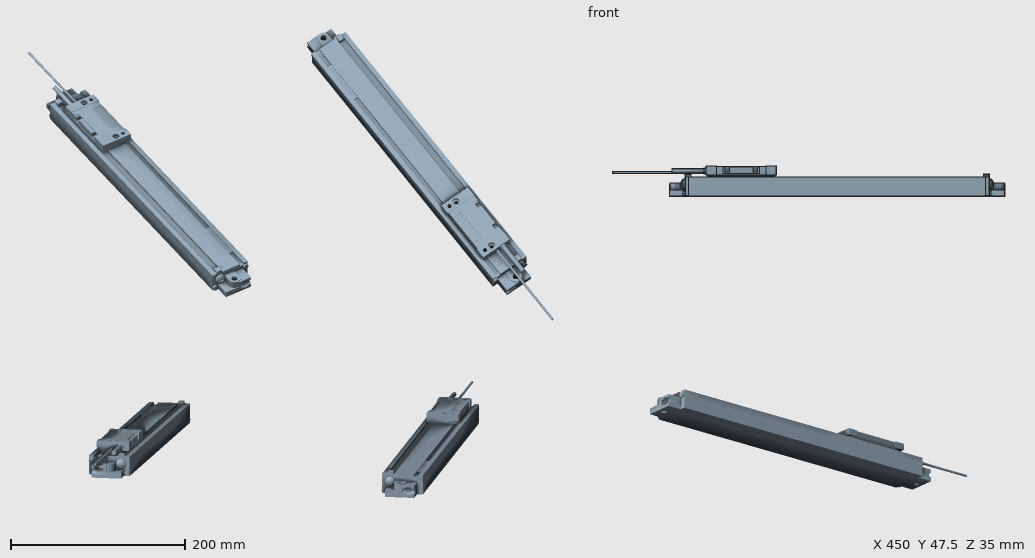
import cadquery as cq


overall_length = 348.8
housing_width = 47.5
housing_height = 22.5
housing_wall = 1.0
cap_plate_thickness = 0.5
rail_width = 5.5
rear_groove_width = 5.5
front_groove_width = 8.5
groove_depth = 2.5
rear_strip_start = 101.0
rear_strip_length = 50.0
rear_strip_height = 2.0
label_pocket_start = -165.5
label_pocket_length = 27.0
label_pocket_width = 9.5
label_pocket_y = 6.8
label_pocket_depth = 1.0
label_pocket_radius = 2.0

half_length = overall_length / 2
housing_half_length = half_length - cap_plate_thickness
half_width = housing_width / 2
rail_inner_y = half_width - rail_width
groove_floor = housing_height - groove_depth

cap_depth = 4.0
tab_length = 6.8
tab_width = 6.8
tab_y = -14.18
tab_height = 3.0
tab_fillet = 1.5
screw_head_radius = 3.0
screw_head_height = 2.2
screw_positions = [(20.48, 16.5), (-20.48, 3.38)]
plug_y = -14.0
plug_z = 14.0
plug_radius = 6.0
plug_rim = 2.2
dome_height = 2.5
plug_slot_width = 1.5
plug_slot_depth = 1.5

bracket_length = 18.0
bracket_width = 34.0
bracket_base_height = 7.0
bracket_block_height = 14.5
boss_height = 15.8
boss_radius = 6.8
boss_y = -1.0
boss_inset = 7.0
mount_hole_diameter = 7.0
side_bore_z = 7.5
side_bore_radius = 3.0
side_bore_length = 13.5
side_recess_radius = 4.5
side_recess_length = 6.8

head_start = -150.5
head_length = 80.5
head_top = 35.0
head_front_y = -18.0
head_rear_y = 18.5
foot_bottom = 23.0
end_block_length = 12.0
end_block_rear_y = 20.0
head_bottom = 24.8
middle_setback = 0.5
flange_bottom = 27.5
flange_y = 8.5
foot_inset = 1.5
foot_front_y = -7.0
foot_radius = 10.0
plate_recess_length = 40.5
plate_recess_width = 11.2
plate_recess_rear_y = 18.0
plate_recess_depth = 0.5
step_length = 42.5
step_width = 5.5
step_drop = 1.0
step_face_setback = 0.5
step_face_bottom = 26.5
notch_width = 5.5
notch_spacing = 32.5
notch_bottom = 28.5
clamp_hole_diameter = 5.0
clamp_hole_y = 12.82
head_bolt_diameter = 4.0
head_bolt_bore_diameter = 8.0
head_bolt_bore_depth = 3.5
head_bolt_y = 3.38

head_end = head_start + head_length
head_middle_x = (head_start + head_end) / 2
middle_front_y = head_front_y + middle_setback
middle_top = head_top - middle_setback

total_length = 450
cable_tip_x = half_length + bracket_length - total_length
cable_radius = 1.5
cable_z = 27.5
sleeve_start = -189.5
sleeve_radius = 2.5
sleeve_y = -8.0
sleeve_z = 29.2
collar_radius = 3.5
collar_length = 2.2


def block(x_range, y_range, z_range):
    """Box between two coordinates on each axis."""
    lows, highs = zip(x_range, y_range, z_range)
    sizes = [high - low for low, high in zip(lows, highs)]
    return cq.Workplane("XY").box(*sizes, centered=False).translate(lows)


def rod_x(start, end, y, z, radius):
    """Round bar along X."""
    return cq.Workplane("YZ", origin=(start, y, z)).circle(radius).extrude(end - start)


def rod_z(x, y, bottom, top, diameter):
    """Round bar along Z."""
    return cq.Workplane("XY", origin=(x, y, bottom)).circle(diameter / 2).extrude(top - bottom)


def make_rear_groove():
    return block((-half_length, half_length), (rail_inner_y - rear_groove_width, rail_inner_y),
                 (groove_floor, housing_height))


def make_front_groove():
    return block((-half_length, half_length), (-rail_inner_y, -rail_inner_y + front_groove_width),
                 (groove_floor, housing_height))


def make_label_pocket():
    middle_x = label_pocket_start + label_pocket_length / 2
    return (cq.Workplane("XY", origin=(middle_x, label_pocket_y, housing_height - label_pocket_depth))
            .rect(label_pocket_length, label_pocket_width).extrude(label_pocket_depth)
            .edges("|Z").fillet(label_pocket_radius))


def make_rear_strip():
    return block((rear_strip_start, rear_strip_start + rear_strip_length),
                 (rail_inner_y - rear_groove_width, rail_inner_y),
                 (groove_floor, groove_floor + rear_strip_height))


def make_cap_seat():
    """Recess at the -X end that takes the inner part of an end cap."""
    return block((-housing_half_length, -half_length + cap_depth),
                 (-half_width + housing_wall, half_width - housing_wall),
                 (housing_wall, housing_height))


def make_housing():
    body = block((-housing_half_length, housing_half_length), (-half_width, half_width),
                 (0, housing_height))
    body = body.cut(make_rear_groove()).cut(make_front_groove()).cut(make_label_pocket())
    body = body.union(make_rear_strip())
    return body.cut(make_cap_seat()).cut(make_cap_seat().mirror("YZ"))


def make_bracket():
    """Mounting foot outside the -X end of the housing."""
    outer_x = -half_length - bracket_length
    side_y = bracket_width / 2
    x_range = (outer_x, -half_length)
    hole_x = outer_x + boss_inset
    bracket = block(x_range, (-side_y, side_y), (0, bracket_base_height))
    bracket = bracket.union(block(x_range, (0, side_y), (0, bracket_block_height)))
    boss = block((hole_x, -half_length), (boss_y - boss_radius, boss_y + boss_radius), (0, boss_height))
    boss = boss.union(rod_z(hole_x, boss_y, 0, boss_height, 2 * boss_radius))
    bracket = bracket.union(boss).cut(rod_z(hole_x, boss_y, 0, boss_height, mount_hole_diameter))

    bore = (cq.Workplane("XZ", origin=(outer_x, side_y, side_bore_z))
            .circle(side_bore_radius).extrude(side_bore_length))
    recess_offset = (side_bore_length - side_recess_length) / 2
    recess = (cq.Workplane("XZ", origin=(outer_x, side_y - recess_offset, side_bore_z))
              .circle(side_recess_radius).extrude(side_recess_length))
    return bracket.cut(bore).cut(recess)


def make_plug():
    """Round plug with a slotted, domed tip on the outer face of the cap."""
    rim_face_x = -half_length - plug_rim
    rim = rod_x(rim_face_x, -half_length, plug_y, plug_z, plug_radius)
    dome_sphere_radius = (plug_radius ** 2 + dome_height ** 2) / (2 * dome_height)
    tip_x = rim_face_x - dome_height
    sphere_x = tip_x + dome_sphere_radius
    sphere = cq.Workplane("XY", origin=(sphere_x, plug_y, plug_z)).sphere(dome_sphere_radius)
    dome = sphere.intersect(rod_x(tip_x, rim_face_x, plug_y, plug_z, plug_radius))
    slot = block((tip_x, tip_x + plug_slot_depth), (plug_y - plug_radius, plug_y + plug_radius),
                 (plug_z - plug_slot_width / 2, plug_z + plug_slot_width / 2))
    return rim.union(dome).cut(slot)


def make_tab():
    """Raised tongue on the cap that reaches into the front groove."""
    return (block((-half_length, -half_length + tab_length),
                  (tab_y - tab_width / 2, tab_y + tab_width / 2),
                  (groove_floor, housing_height + tab_height))
            .edges("|X and >Z").fillet(tab_fillet))


def make_end_cap():
    plate = block((-half_length, -housing_half_length), (-half_width, half_width), (0, housing_height))
    cap = plate.union(make_cap_seat()).cut(make_rear_groove())
    cap = cap.union(make_tab()).union(make_bracket()).union(make_plug())
    for y, z in screw_positions:
        cap = cap.union(rod_x(-half_length - screw_head_height, -half_length, y, z, screw_head_radius))
    return cap


def make_end_block(start):
    """Clamping block at one end of the reader head, thinner along its +Y flange."""
    x_range = (start, start + end_block_length)
    clamp = block(x_range, (head_front_y, end_block_rear_y), (flange_bottom, head_top))
    return clamp.union(block(x_range, (head_front_y, flange_y), (head_bottom, head_top)))


def make_end_block_holes(start):
    """Plain clamp hole and counterbored bolt hole."""
    middle_x = start + end_block_length / 2
    holes = rod_z(middle_x, clamp_hole_y, foot_bottom, head_top, clamp_hole_diameter)
    holes = holes.union(rod_z(middle_x, head_bolt_y, foot_bottom, head_top, head_bolt_diameter))
    return holes.union(rod_z(middle_x, head_bolt_y, head_top - head_bolt_bore_depth, head_top,
                             head_bolt_bore_diameter))


def make_foot():
    """Lower body under the end blocks, round at its +Y corners."""
    return (block((head_start + foot_inset, head_end - foot_inset), (foot_front_y, head_rear_y),
                  (foot_bottom, flange_bottom))
            .edges("|Z and >Y").fillet(foot_radius))


def make_front_step():
    """Material removed along the upper -Y edge: a shallow step, a set-back face, two notches."""
    x_range = (head_middle_x - step_length / 2, head_middle_x + step_length / 2)
    step_y_range = (middle_front_y, middle_front_y + step_width)
    step = block(x_range, step_y_range, (middle_top - step_drop, middle_top))
    step = step.union(block(x_range, (middle_front_y, middle_front_y + step_face_setback),
                            (step_face_bottom, middle_top)))
    for side in (-1, 1):
        notch_x = head_middle_x + side * notch_spacing / 2
        step = step.union(block((notch_x - notch_width / 2, notch_x + notch_width / 2), step_y_range,
                                (notch_bottom, middle_top)))
    return step


def make_plate_recess():
    return block((head_middle_x - plate_recess_length / 2, head_middle_x + plate_recess_length / 2),
                 (plate_recess_rear_y - plate_recess_width, plate_recess_rear_y),
                 (middle_top - plate_recess_depth, middle_top))


def make_reader_head():
    block_starts = (head_start, head_end - end_block_length)
    head = block((head_start + end_block_length, head_end - end_block_length),
                 (middle_front_y, head_rear_y), (head_bottom, middle_top))
    head = head.union(make_foot())
    for start in block_starts:
        head = head.union(make_end_block(start)).cut(make_end_block_holes(start))
    head = head.cut(make_front_step()).cut(make_plate_recess())

    cable = rod_x(cable_tip_x, head_start, 0, cable_z, cable_radius)
    sleeve = rod_x(sleeve_start, head_start, sleeve_y, sleeve_z, sleeve_radius)
    collar = rod_x(head_start - collar_length, head_start, sleeve_y, sleeve_z, collar_radius)
    return head.union(cable).union(sleeve).union(collar)


housing = make_housing()
left_cap = make_end_cap()
right_cap = left_cap.mirror("YZ")
reader_head = make_reader_head()

result = cq.Compound.makeCompound([housing.val(), left_cap.val(), right_cap.val(), reader_head.val()])